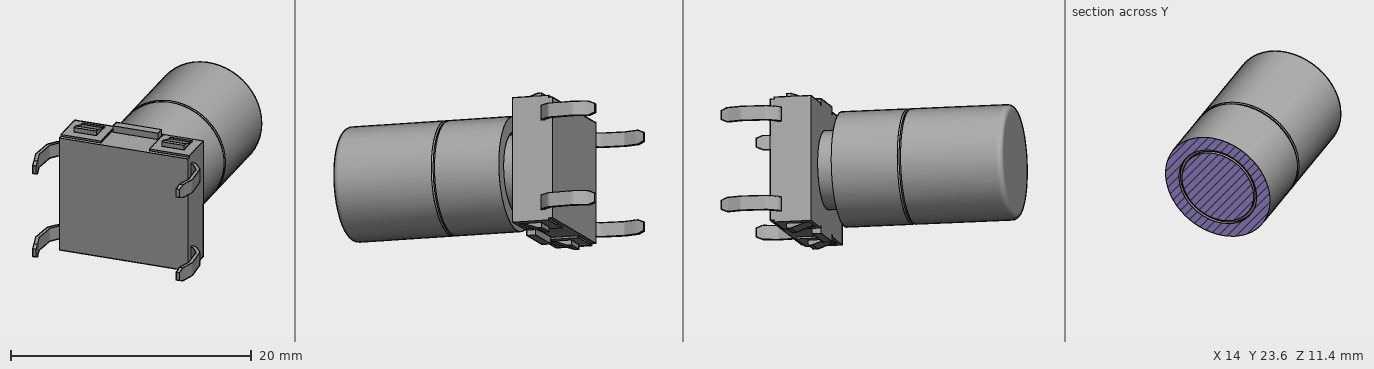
import cadquery as cq
import math


base_width = 11.5
base_height = 3.5
base_depth = 10.25

pad_face = 5.29
pad_inner_x = 2.17
pad_bottom = 0.35

tab_width = 4.04
tab_height = 0.78
overall_depth = 11.4
tab_face = overall_depth / 2

hook_x = 3.92
hook_width = 1.98
hook_top = 3.19
hook_peak = 1.58
hook_bottom = 1.23
hook_start_depth = 0.15

neck_radius = 3.3
cap_radius = 4.81
cap_bottom = 5.0
cap_top = 19.6
cap_fillet = 0.5
groove_y = 10.79
groove_half_width = 0.15
groove_depth = 0.07
recess_radius = 3.55
recess_depth = 0.47

pin_width = 1.18
pin_thickness = 0.3
pin_z = 3.8
pin_top = 0.97
pin_embed = 0.47
pin_runs = (
    (0.5, 52.0, 0.78),
    (0.35, 85.5, 1.95),
    (0.35, 106.0, 1.09),
    (0.35, 100.0, 0.95),
)
pin_tip = -4.0
tip_taper_length = 0.52
tip_width = 0.73


def block(x_range, y_range, z_range):
    """Box spanning the three given ranges."""
    lows, highs = zip(x_range, y_range, z_range)
    sizes = [high - low for low, high in zip(lows, highs)]
    return cq.Workplane("XY").box(*sizes, centered=False).translate(lows)


def make_base():
    half_width = base_width / 2
    half_depth = base_depth / 2
    return block((-half_width, half_width), (0, base_height), (-half_depth, half_depth))


def make_pad():
    """Corner pad on the +X +Z side, with the hook window and its ramped hook."""
    pad = block((pad_inner_x, base_width / 2), (pad_bottom, base_height), (0, pad_face))
    hook_left = hook_x - hook_width / 2
    window = block(
        (hook_left, hook_left + hook_width),
        (hook_bottom, hook_top),
        (pad_face - hook_start_depth, pad_face),
    )
    hook = (
        cq.Workplane("YZ", origin=(hook_left, 0, 0))
        .moveTo(hook_bottom, 0)
        .lineTo(hook_bottom, tab_face)
        .lineTo(hook_peak, tab_face)
        .lineTo(hook_top, pad_face - hook_start_depth)
        .lineTo(hook_top, 0)
        .close()
        .extrude(hook_width)
    )
    return pad.cut(window).union(hook)


def make_tab():
    half_width = tab_width / 2
    return block((-half_width, half_width), (base_height - tab_height, base_height), (0, tab_face))


def make_button():
    groove_radius = cap_radius - groove_depth
    return (
        cq.Workplane("XY")
        .moveTo(0, base_height)
        .lineTo(neck_radius, base_height)
        .lineTo(neck_radius, cap_bottom + recess_depth)
        .lineTo(recess_radius, cap_bottom + recess_depth)
        .lineTo(recess_radius, cap_bottom)
        .lineTo(cap_radius, cap_bottom)
        .lineTo(cap_radius, groove_y - groove_half_width)
        .lineTo(groove_radius, groove_y)
        .lineTo(cap_radius, groove_y + groove_half_width)
        .lineTo(cap_radius, cap_top - cap_fillet)
        .radiusArc((cap_radius - cap_fillet, cap_top), -cap_fillet)
        .lineTo(0, cap_top)
        .close()
        .revolve(360, (0, 0, 0), (0, 1, 0))
    )


def make_pin():
    """Pin on the +X +Z side: a flat strip bent at the start of each run and tapered at the tip."""
    x = base_width / 2
    y = pin_top - pin_thickness / 2
    path = cq.Workplane("XY", origin=(0, 0, pin_z)).moveTo(x - pin_embed, y).lineTo(x, y)
    previous = 0.0
    for bend_radius, degrees, run in pin_runs:
        angle = math.radians(degrees)
        radius = math.copysign(bend_radius, angle - previous)
        x += radius * (math.sin(angle) - math.sin(previous))
        y += radius * (math.cos(angle) - math.cos(previous))
        path = path.radiusArc((x, y), radius)
        x += run * math.cos(angle)
        y -= run * math.sin(angle)
        path = path.lineTo(x, y)
        previous = angle

    strip = (
        cq.Workplane("YZ", origin=(base_width / 2 - pin_embed, pin_top - pin_thickness / 2, pin_z))
        .rect(pin_thickness, pin_width)
        .sweep(path)
    )
    taper_start = pin_tip + tip_taper_length
    tip_outline = (
        cq.Workplane("YZ", origin=(0, 0, pin_z))
        .moveTo(pin_top, -pin_width / 2)
        .lineTo(taper_start, -pin_width / 2)
        .lineTo(pin_tip, -tip_width / 2)
        .lineTo(pin_tip, tip_width / 2)
        .lineTo(taper_start, pin_width / 2)
        .lineTo(pin_top, pin_width / 2)
        .close()
        .extrude(base_width)
    )
    return strip.intersect(tip_outline)


corner = make_pad().union(make_tab()).union(make_pin())
side = corner.union(corner.mirror("YZ"))
result = make_base().union(make_button()).union(side).union(side.mirror("XY"))